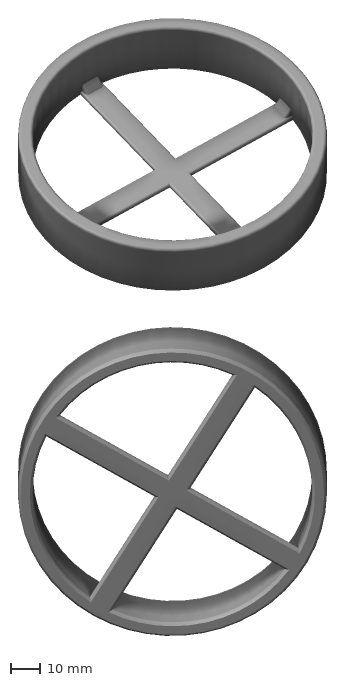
import cadquery as cq

outer_diameter = 105.5
inner_diameter = 95.5
ring_height = 22.0
rim_fillet = 1.1

bevel_height = 1.3
bevel_crease_height = 0.6
bevel_crease_inset = 0.3
bevel_foot_inset = 1.0

arm_width = 8.9
arm_thickness = 2.5
arm_edge_fillet = 0.8

gusset_width = arm_width - 2 * arm_edge_fillet
gusset_leg = 3.0
gusset_side_fillet = 1.0

outer_radius = outer_diameter / 2
inner_radius = inner_diameter / 2
embedded_radius = (outer_radius + inner_radius) / 2


def make_ring():
    """Round band with a filleted rim and bevelled lower edges inside and outside."""
    section = (
        cq.Workplane("XZ")
        .moveTo(inner_radius + bevel_foot_inset, 0)
        .lineTo(outer_radius - bevel_foot_inset, 0)
        .lineTo(outer_radius - bevel_crease_inset, bevel_crease_height)
        .lineTo(outer_radius, bevel_height)
        .lineTo(outer_radius, ring_height)
        .lineTo(inner_radius, ring_height)
        .lineTo(inner_radius, bevel_height)
        .lineTo(inner_radius + bevel_crease_inset, bevel_crease_height)
        .close()
    )
    return section.revolve(360, (0, 0), (0, 1)).faces(">Z").edges().fillet(rim_fillet)


def make_bar():
    """Bar along X with bevelled lower edges and rounded upper edges."""
    half_width = arm_width / 2
    bar = (
        cq.Workplane("YZ")
        .moveTo(bevel_foot_inset - half_width, 0)
        .lineTo(half_width - bevel_foot_inset, 0)
        .lineTo(half_width - bevel_crease_inset, bevel_crease_height)
        .lineTo(half_width, bevel_height)
        .lineTo(half_width, arm_thickness)
        .lineTo(-half_width, arm_thickness)
        .lineTo(-half_width, bevel_height)
        .lineTo(bevel_crease_inset - half_width, bevel_crease_height)
        .close()
        .extrude(embedded_radius, both=True)
    )
    return bar.faces(">Z").edges("|X").fillet(arm_edge_fillet)


def make_gusset():
    """Wedge rising from the +X arm to the wall, with rounded sloping edges."""
    toe = inner_radius - gusset_leg
    rise = embedded_radius - toe
    wedge = (
        cq.Workplane("XZ")
        .moveTo(toe, arm_thickness)
        .lineTo(embedded_radius, arm_thickness)
        .lineTo(embedded_radius, arm_thickness + rise)
        .close()
        .extrude(gusset_width / 2, both=True)
    )
    side_edges = wedge.faces("<X").edges("|(1, 0, 1)")
    return side_edges.fillet(gusset_side_fillet)


gusset = make_gusset()
bar = make_bar()
cross = bar.union(bar.rotate((0, 0, 0), (0, 0, 1), 90))
result = make_ring().union(cross)
for angle in range(0, 360, 90):
    result = result.union(gusset.rotate((0, 0, 0), (0, 0, 1), angle))